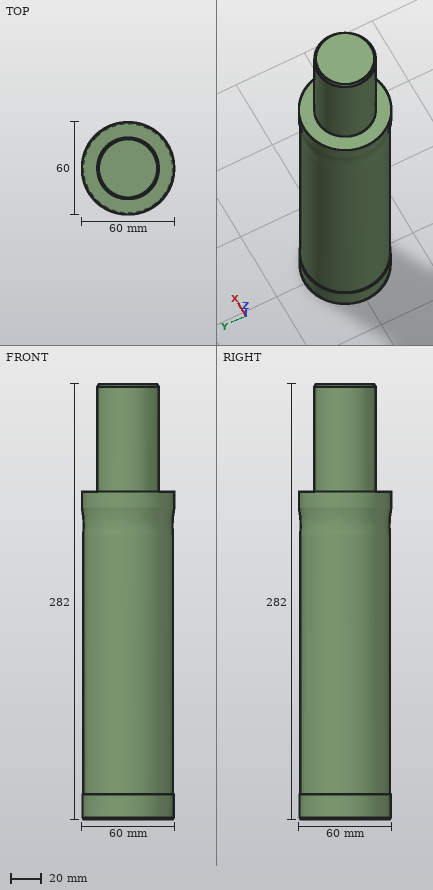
import cadquery as cq

total_height = 282.0
collar_top = 212.3
collar_height = 10.5
neck_height = 17.8
base_height = 16.0

collar_diameter = 60.0
tube_diameter = 58.5
base_diameter = 59.2
rod_diameter = 40.0

base_chamfer_width = 0.8
base_chamfer_height = 1.5
shoulder_height = 0.5
rod_chamfer_width = 1.0
rod_chamfer_height = 2.0
neck_waist_diameter = 57.8


def make_cylinder():
    """Revolved cylinder: chamfered base, tube, hollow neck and top collar."""
    collar_bottom = collar_top - collar_height
    neck_bottom = collar_bottom - neck_height
    neck_middle = neck_bottom + neck_height / 2
    base_radius = base_diameter / 2
    tube_radius = tube_diameter / 2
    collar_radius = collar_diameter / 2
    profile = (
        cq.Workplane("XZ")
        .lineTo(base_radius - base_chamfer_width, 0)
        .lineTo(base_radius, base_chamfer_height)
        .lineTo(base_radius, base_height)
        .lineTo(tube_radius, base_height + shoulder_height)
        .lineTo(tube_radius, neck_bottom)
        .threePointArc((neck_waist_diameter / 2, neck_middle), (collar_radius, collar_bottom))
        .lineTo(collar_radius, collar_top)
        .lineTo(0, collar_top)
        .close()
    )
    return profile.revolve(360, (0, 0, 0), (0, 1, 0))


def make_rod():
    """Round rod standing on the collar's flat top, with a chamfered free end."""
    rod_radius = rod_diameter / 2
    profile = (
        cq.Workplane("XZ")
        .moveTo(0, collar_top)
        .lineTo(rod_radius, collar_top)
        .lineTo(rod_radius, total_height - rod_chamfer_height)
        .lineTo(rod_radius - rod_chamfer_width, total_height)
        .lineTo(0, total_height)
        .close()
    )
    return profile.revolve(360, (0, 0, 0), (0, 1, 0))


cylinder = make_cylinder()
rod = make_rod()

result = cq.Compound.makeCompound([cylinder.val(), rod.val()])